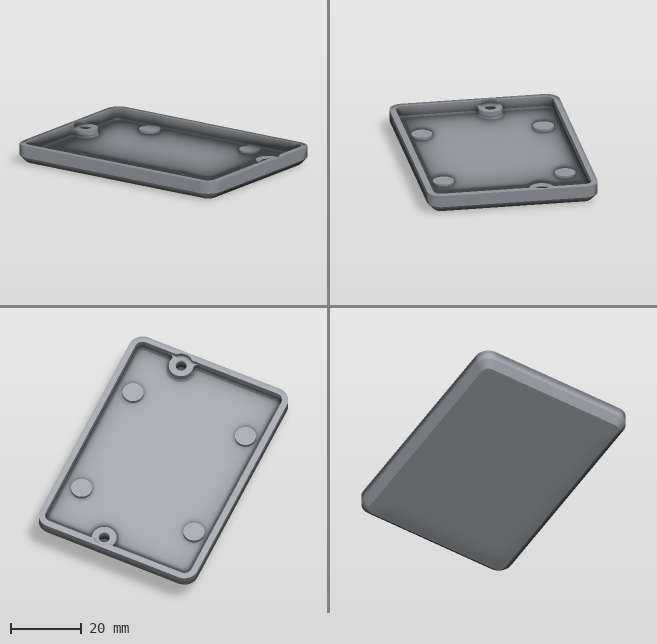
import cadquery as cq
import math

length = 69.0
width = 49.0
height = 5.42
corner_radius = 4.0
bottom_chamfer = 2.0

wall = 1.8
floor_thickness = 2.0
floor_chamfer = 0.5
cavity_corner_radius = corner_radius - wall
cavity_half_length = length / 2 - wall
cavity_width = width - 2 * wall

pad_diameter = 6.0
pad_height = 1.0
pad_offset = 17.5

boss_radius = 3.5
boss_top = 4.2
boss_offset_x = 30.5
boss_centers = [(-boss_offset_x, 4.5), (boss_offset_x, 8.5)]
boss_blend_radius = 1.0
boss_to_wall = cavity_half_length - boss_offset_x
notch_radius = 3.25
notch_edge_radius = 0.7

hole_diameter = 3.0
hole_chamfer = 0.2
hole_bottom = 1.0


def shell_body():
    """Rounded plate with its lower rim bevelled."""
    plate = cq.Workplane("XY").box(length, width, height, centered=(True, True, False))
    return plate.edges("|Z").fillet(corner_radius).faces("<Z").chamfer(bottom_chamfer)


def boss_plug(center):
    """Boss volume that the cavity leaves standing, running back into the nearest wall."""
    x, y = center
    outward = math.copysign(1, x)
    root_length = boss_radius + wall
    root_width = 2 * math.sqrt(boss_radius**2 - boss_to_wall ** 2)
    root_x = outward * (cavity_half_length + root_length / 2)
    plug = cq.Workplane("XY", origin=(x, y, floor_thickness)).circle(boss_radius).extrude(height)
    root_plane = cq.Workplane("XY", origin=(root_x, y, floor_thickness))
    root = root_plane.rect(root_length, root_width).extrude(height)
    return plug.union(root)


def cavity():
    """Cavity around the bosses, bevelled where its walls meet the floor."""
    hollow = (
        cq.Workplane("XY", origin=(0, 0, floor_thickness))
        .rect(2 * cavity_half_length, cavity_width)
        .extrude(height)
        .edges("|Z")
        .fillet(cavity_corner_radius)
    )
    for center in boss_centers:
        hollow = hollow.cut(boss_plug(center))
        x, y = center
        reach = boss_radius + boss_blend_radius
        root = cq.selectors.BoxSelector(
            (math.copysign(cavity_half_length - floor_chamfer, x), y - reach, 0),
            (math.copysign(cavity_half_length + floor_chamfer, x), y + reach, 2 * height),
        )
        hollow = hollow.edges("|Z").edges(root).fillet(boss_blend_radius)
    return hollow.faces("<Z").chamfer(floor_chamfer)


def boss_clearance(center):
    """Space above a boss, notched into the wall behind it with rounded notch corners."""
    x, y = center
    reach = 2 * boss_radius
    wall_x = math.copysign(cavity_half_length, x)
    inner_x = wall_x - math.copysign(reach, x)
    notch_half_width = math.sqrt(notch_radius**2 - boss_to_wall ** 2)
    notch_outline = (
        cq.Workplane("XY", origin=(0, 0, boss_top))
        .moveTo(inner_x, y - reach)
        .lineTo(wall_x, y - reach)
        .lineTo(wall_x, y - notch_half_width)
        .threePointArc((x + math.copysign(notch_radius, x), y), (wall_x, y + notch_half_width))
        .lineTo(wall_x, y + reach)
        .lineTo(inner_x, y + reach)
        .close()
    )
    notch_corners = cq.selectors.BoxSelector(
        (wall_x - notch_edge_radius, y - boss_radius, 0),
        (wall_x + notch_edge_radius, y + boss_radius, 2 * height),
    )
    clearance = notch_outline.extrude(height)
    return clearance.edges("|Z").edges(notch_corners).fillet(notch_edge_radius)


def screw_hole(center):
    """Blind hole with a small lead-in chamfer at the top of the boss."""
    x, y = center
    bore_radius = hole_diameter / 2
    bore = cq.Workplane("XY", origin=(x, y, hole_bottom)).circle(bore_radius).extrude(boss_top - hole_bottom)
    mouth = (
        cq.Workplane("XY", origin=(x, y, boss_top))
        .circle(bore_radius + hole_chamfer)
        .workplane(offset=-hole_chamfer)
        .circle(bore_radius)
        .loft(ruled=True)
    )
    return bore.union(mouth)


def pads():
    """Four round pads standing on the floor."""
    return (
        cq.Workplane("XY", origin=(0, 0, floor_thickness))
        .rect(2 * pad_offset, 2 * pad_offset, forConstruction=True)
        .vertices()
        .circle(pad_diameter / 2)
        .extrude(pad_height)
    )


result = shell_body().cut(cavity())
for boss_center in boss_centers:
    result = result.cut(boss_clearance(boss_center)).cut(screw_hole(boss_center))
result = result.union(pads())